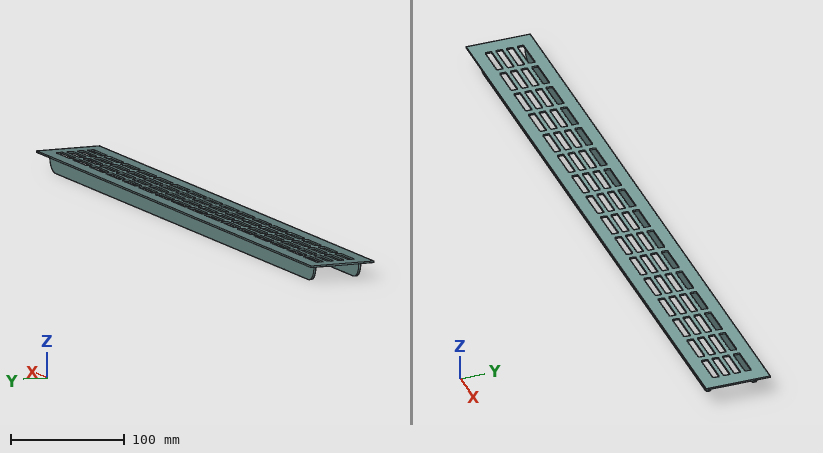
import cadquery as cq

plate_length = 600.0
plate_width = 60.0
plate_thickness = 1.5
total_height = 17.0

slot_columns = 16
slot_rows = 4
slot_length = 30.0
slot_width = 6.0
slot_corner_radius = 1.0
slot_gap_x = 6.0
slot_field_width = 36.0

flange_length = 577.0
flange_thickness = 2.0
flange_span = 45.0
flange_corner_radius = 12.5

slot_pitch_x = slot_length + slot_gap_x
slot_pitch_y = (slot_field_width - slot_width) / (slot_rows - 1)
flange_height = total_height - plate_thickness


def make_plate():
    """Flat face plate with its underside at Z = 0."""
    return cq.Workplane("XY").box(
        plate_length, plate_width, plate_thickness, centered=(True, True, False)
    )


def make_slot_cutters():
    """Grid of cutters with rounded corners that pass through the plate."""
    return (
        cq.Workplane("XY")
        .rarray(slot_pitch_x, slot_pitch_y, slot_columns, slot_rows)
        .rect(slot_length, slot_width)
        .extrude(plate_thickness)
        .edges("|Z")
        .fillet(slot_corner_radius)
    )


def make_flange(side):
    """Upright flange on the +Y (side = 1) or -Y (side = -1) half, lower corners rounded."""
    centre_y = side * (flange_span - flange_thickness) / 2
    return (
        cq.Workplane("XY")
        .box(flange_length, flange_thickness, flange_height)
        .edges("|Y and <Z")
        .fillet(flange_corner_radius)
        .translate((0, centre_y, -flange_height / 2))
    )


result = make_plate().cut(make_slot_cutters())
for side in (-1, 1):
    result = result.union(make_flange(side))